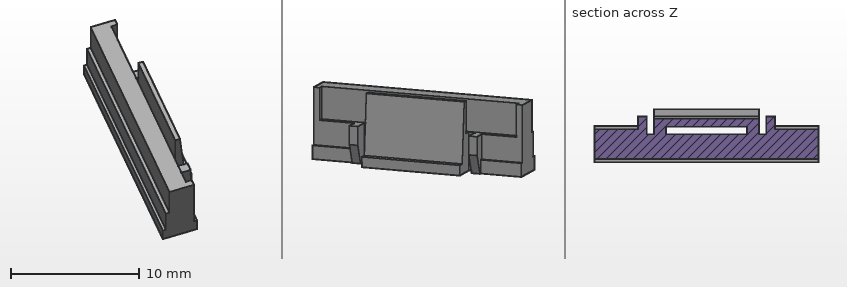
import cadquery as cq

LENGTH = 17.5
HEIGHT = 5.7
DEPTH = 4.15

FOOT_TOP = 1.1
LEDGE_TOP = 3.1

MIDDLE_FRONT = 0.25
UPPER_FRONT = 0.55

UPPER_BACK = 2.1
CENTRE_BACK = 2.2
SIDE_BACK = 2.6
FOOT_BACK = 2.85
CHEEK_THICKNESS = 0.5

POST_START = 3.4
POST_WIDTH = 0.7
POST_BACK = 3.6
POST_BOTTOM_BACK = 3.0
POST_TAPER_TOP = 1.6

LEVER_LENGTH = 8.2
LEVER_INNER = 2.78
LEVER_TOP_BACK = 3.18
LEVER_LIP_BACK = 3.6
LIP_HEIGHT = 0.83
ARM_WIDTH = 0.95

POST_OUTER_X = LENGTH / 2 - POST_START
POST_INNER_X = POST_OUTER_X - POST_WIDTH


def extrude_profile(points, x_start, x_end):
    """Extrude a closed (Y, Z) outline along X."""
    return cq.Workplane("YZ", origin=(x_start, 0, 0)).polyline(points).close().extrude(x_end - x_start)


def block(x_range, y_range, z_range):
    """Box between the given pairs of coordinates."""
    sizes = [end - start for start, end in (x_range, y_range, z_range)]
    corner = (x_range[0], y_range[0], z_range[0])
    return cq.Workplane("XY").box(*sizes, centered=False).translate(corner)


def both_sides(solid):
    """The solid together with its mirror image about X = 0."""
    return solid.union(solid.mirror("YZ"))


def make_core():
    """Full-length body with two steps along the front and a recessed upper back."""
    outline = [
        (0, 0),
        (CENTRE_BACK, 0),
        (CENTRE_BACK, LEDGE_TOP),
        (UPPER_BACK, LEDGE_TOP),
        (UPPER_BACK, HEIGHT),
        (UPPER_FRONT, HEIGHT),
        (UPPER_FRONT, LEDGE_TOP),
        (MIDDLE_FRONT, LEDGE_TOP),
        (MIDDLE_FRONT, FOOT_TOP),
        (0, FOOT_TOP),
    ]
    return extrude_profile(outline, -LENGTH / 2, LENGTH / 2)


def make_end_wings():
    """Ledge, rear foot and full-height cheek at each end."""
    end_x = LENGTH / 2
    ledge = block((POST_OUTER_X, end_x), (UPPER_FRONT, SIDE_BACK), (0, LEDGE_TOP))
    foot = block((POST_OUTER_X, end_x), (UPPER_FRONT, FOOT_BACK), (0, FOOT_TOP))
    cheek = block((end_x - CHEEK_THICKNESS, end_x), (UPPER_FRONT, SIDE_BACK), (0, HEIGHT))
    return both_sides(ledge.union(foot).union(cheek))


def make_posts():
    """Guard posts whose rear face tapers inward towards the bottom."""
    outline = [
        (UPPER_FRONT, 0),
        (POST_BOTTOM_BACK, 0),
        (POST_BACK, POST_TAPER_TOP),
        (POST_BACK, LEDGE_TOP),
        (UPPER_FRONT, LEDGE_TOP),
    ]
    return both_sides(extrude_profile(outline, POST_INNER_X, POST_OUTER_X))


def make_latch():
    """Tapered lever with a lip along its bottom, joined to the body by two arms."""
    outline = [
        (LEVER_INNER, 0),
        (DEPTH, 0),
        (DEPTH, LIP_HEIGHT),
        (LEVER_LIP_BACK, LIP_HEIGHT),
        (LEVER_TOP_BACK, HEIGHT),
        (LEVER_INNER, HEIGHT),
    ]
    lever_end = LEVER_LENGTH / 2
    lever = extrude_profile(outline, -lever_end, lever_end)
    arm = block((lever_end - ARM_WIDTH, lever_end), (UPPER_FRONT, LEVER_INNER), (0, LEDGE_TOP))
    return lever.union(both_sides(arm))


result = make_core().union(make_end_wings()).union(make_posts()).union(make_latch()).clean()